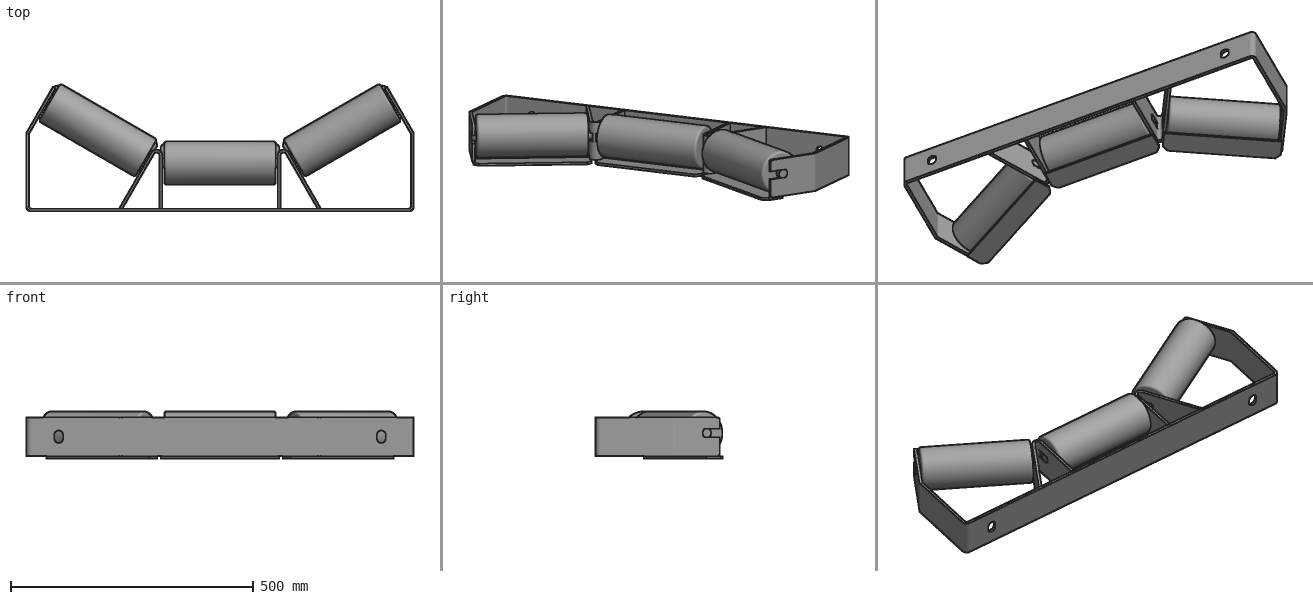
import cadquery as cq
import math

frame_length = 800.0
strip_height = 80.0
strip_thickness = 6.0
frame_bend_radius = 10.0
arm_slope = 30.0
arm_reach = 31.0
arm_corner_radius = 6.0

mount_slot_spacing = 666.0
mount_slot_width = 18.0
mount_slot_length = 26.0

seat_gap = 238.0
axis_y = 100.0
axis_z = 47.5

bracket_bend_radius = 12.0
bracket_bend_rise = 15.8

roller_radius = 45.0
roller_length = 230.0
roller_edge_radius = 5.0
shaft_radius = 10.0
shaft_flats = 17.0
slot_mouth_depth = 40.0

plate_length = 245.0
plate_thickness = 5.0
plate_width = roller_radius
plate_chamfer = 11.0

half_gap = seat_gap / 2
slope_sin = math.sin(math.radians(arm_slope))
slope_cos = math.cos(math.radians(arm_slope))
slope_tan = slope_sin / slope_cos

bend_x = -half_gap - bracket_bend_radius
bend_y = axis_y + bracket_bend_rise

station_x = bend_x - (bracket_bend_radius + half_gap) * slope_cos - bracket_bend_rise * slope_sin
station_y = bend_y + (bracket_bend_radius + half_gap) * slope_sin - bracket_bend_rise * slope_cos

stations = [
    (station_x, station_y, -arm_slope),
    (0.0, axis_y, 0.0),
    (-station_x, station_y, arm_slope),
]


def at_station(shape, station):
    """Move a shape built about an X axis at the origin into its station."""
    x, y, turn = station
    return shape.rotate((0, 0, 0), (0, 0, 1), turn).translate((x, y, axis_z))


def bar_along_x(radius, length):
    return cq.Workplane("YZ", origin=(-length / 2, 0, 0)).circle(radius).extrude(length)


def shaft_profile(length):
    """Round shaft end with two flats, lying along X."""
    round_bar = bar_along_x(shaft_radius, length)
    return round_bar.intersect(cq.Workplane("XY").box(length, 2 * shaft_radius, shaft_flats))


def seat_slots(station):
    """Slots open to +Y that take both flattened shaft ends."""
    length = seat_gap + 2 * strip_thickness
    mouth = cq.Workplane("XY").box(length, slot_mouth_depth, shaft_flats)
    mouth = mouth.translate((0, slot_mouth_depth / 2, 0))
    return at_station(mouth.union(shaft_profile(length)), station)


def make_frame():
    """Back bar, uprights and inclined arms bent from one strip."""
    outward = half_gap + strip_thickness
    end_x = station_x - outward * slope_cos + arm_reach * slope_sin
    end_y = station_y + outward * slope_sin + arm_reach * slope_cos
    half_length = frame_length / 2
    knee_y = end_y - (end_x + half_length) / slope_tan
    inner_half = half_length - strip_thickness
    inner_knee_y = knee_y - strip_thickness * math.tan(math.radians(arm_slope / 2))
    inner_end_x = end_x + strip_thickness * slope_cos
    inner_end_y = end_y - strip_thickness * slope_sin

    outer = [(end_x, end_y), (-half_length, knee_y), (-half_length, 0)]
    inner = [(-inner_half, strip_thickness), (-inner_half, inner_knee_y), (inner_end_x, inner_end_y)]
    left = outer + [(0, 0), (0, strip_thickness)] + inner
    strip = cq.Workplane("XY").polyline(left).close().extrude(strip_height)
    inner_bend = frame_bend_radius - strip_thickness
    for x, y, radius in [
        (-half_length, 0, frame_bend_radius),
        (-half_length, knee_y, frame_bend_radius),
        (-inner_half, strip_thickness, inner_bend),
        (-inner_half, inner_knee_y, inner_bend),
    ]:
        strip = strip.edges(cq.NearestToPointSelector((x, y, strip_height / 2))).fillet(radius)
    end_middle = ((end_x + inner_end_x) / 2, (end_y + inner_end_y) / 2, strip_height / 2)
    end_face = cq.NearestToPointSelector(end_middle)
    strip = strip.faces(end_face).edges("<Z or >Z").fillet(arm_corner_radius)
    strip = strip.union(strip.mirror("YZ"))
    mounts = (
        cq.Workplane("XZ")
        .center(0, strip_height / 2)
        .rarray(mount_slot_spacing, 1, 2, 1)
        .slot2D(mount_slot_length, mount_slot_width, 90)
        .extrude(-strip_thickness)
    )
    strip = strip.cut(mounts)
    for station in (stations[0], stations[2]):
        strip = strip.cut(seat_slots(station))
    return strip


def make_left_bracket():
    """Upright and inclined legs joined by a bend, standing on the back bar."""
    outer_r = bracket_bend_radius
    inner_r = outer_r - strip_thickness

    def on_bend(radius):
        return bend_x - radius * slope_cos, bend_y + radius * slope_sin

    def foot(radius):
        x, y = on_bend(radius)
        return x - (y - strip_thickness) * slope_tan, strip_thickness

    bracket = (
        cq.Workplane("XY")
        .moveTo(bend_x + outer_r, strip_thickness)
        .lineTo(bend_x + outer_r, bend_y)
        .threePointArc((bend_x, bend_y + outer_r), on_bend(outer_r))
        .lineTo(*foot(outer_r))
        .lineTo(*foot(inner_r))
        .lineTo(*on_bend(inner_r))
        .threePointArc((bend_x, bend_y + inner_r), (bend_x + inner_r, bend_y))
        .lineTo(bend_x + inner_r, strip_thickness)
        .close()
        .extrude(strip_height)
    )
    return bracket.cut(seat_slots(stations[0])).cut(seat_slots(stations[1]))


def make_roller(station):
    """Barrel with rounded rims and its shaft, flattened where it sits in the strips."""
    barrel = bar_along_x(roller_radius, roller_length)
    barrel = barrel.faces("<X or >X").edges().fillet(roller_edge_radius)
    shaft = bar_along_x(shaft_radius, seat_gap)
    ends = shaft_profile(seat_gap + 2 * strip_thickness)
    return at_station(barrel.union(shaft).union(ends), station)


def make_plate(station):
    """Flat plate under the +Y half of a roller, with its two outer corners cut off."""
    plate = (
        cq.Workplane("XY")
        .box(plate_length, plate_width, plate_thickness, centered=(True, False, False))
        .edges("|Z and >Y")
        .chamfer(plate_chamfer)
        .translate((0, 0, -axis_z - plate_thickness))
    )
    return at_station(plate, station)


frame = make_frame()
left_bracket = make_left_bracket()
right_bracket = left_bracket.mirror("YZ")
rollers = [make_roller(station).val() for station in stations]
plates = [make_plate(station).val() for station in stations]
result = cq.Compound.makeCompound([frame.val(), left_bracket.val(), right_bracket.val(), *rollers, *plates])